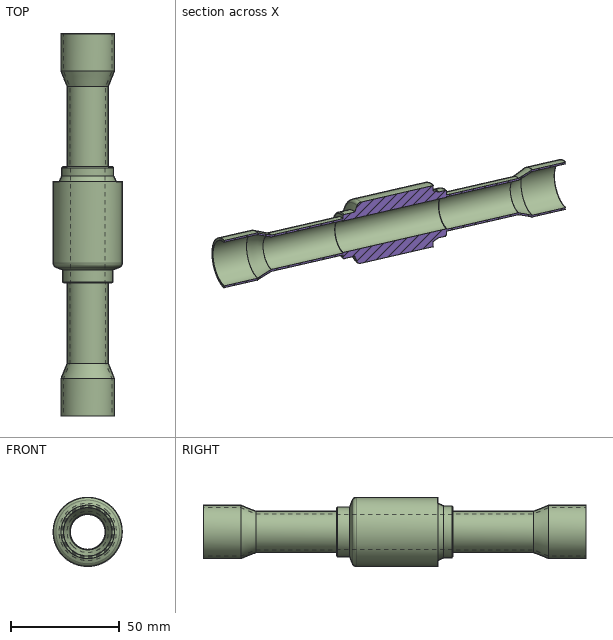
import cadquery as cq
import math

half_length = 88.0
tube_radius = 19.0 / 2
tube_bore_radius = 16.5 / 2
socket_radius = 24.6 / 2
socket_bore_radius = 22.4 / 2
socket_length = 17.2
flare_length = 7.0

body_radius = 31.9 / 2
body_bore_radius = 16.0 / 2
body_back = 19.9
body_front = -17.6
nose_edge_radius = 29.2 / 2
nose_round_length = 2.0
front_collar_radius = 23.0 / 2
collar_end = 26.8
collar_chamfer = 0.5
back_collar_radius = 24.0 / 2
neck_start = 22.5
neck_radius = 26.4 / 2

socket_start = half_length - socket_length
flare_start = socket_start - flare_length
nose_round_end = body_front - nose_round_length

nose_drop = body_radius - nose_edge_radius
nose_radius = (nose_drop**2 + nose_round_length**2) / (2 * nose_drop)
nose_half_angle = math.atan2(nose_drop, nose_round_length)
nose_mid = (
    body_radius - nose_radius * (1 - math.cos(nose_half_angle)),
    body_front - nose_radius * math.sin(nose_half_angle),
)

nose_cone_length = (nose_edge_radius - front_collar_radius) / math.tan(2 * nose_half_angle)
front_collar_start = nose_round_end - nose_cone_length


def make_outside():
    """Revolve the outer outline, given as (radius, Y), about the Y axis."""
    return (
        cq.Workplane("XY")
        .moveTo(0, -half_length)
        .lineTo(socket_radius, -half_length)
        .lineTo(socket_radius, -socket_start)
        .lineTo(tube_radius, -flare_start)
        .lineTo(tube_radius, -collar_end)
        .lineTo(front_collar_radius - collar_chamfer, -collar_end)
        .lineTo(front_collar_radius, -collar_end + collar_chamfer)
        .lineTo(front_collar_radius, front_collar_start)
        .lineTo(nose_edge_radius, nose_round_end)
        .threePointArc(nose_mid, (body_radius, body_front))
        .lineTo(body_radius, body_back)
        .lineTo(neck_radius, body_back)
        .lineTo(back_collar_radius, neck_start)
        .lineTo(back_collar_radius, collar_end - collar_chamfer)
        .lineTo(back_collar_radius - collar_chamfer, collar_end)
        .lineTo(tube_radius, collar_end)
        .lineTo(tube_radius, flare_start)
        .lineTo(socket_radius, socket_start)
        .lineTo(socket_radius, half_length)
        .lineTo(0, half_length)
        .close()
        .revolve(360, (0, 0), (0, 1))
    )


def make_bore():
    """Revolve the stepped and flared passage through the whole part."""
    return (
        cq.Workplane("XY")
        .moveTo(0, -half_length)
        .lineTo(socket_bore_radius, -half_length)
        .lineTo(socket_bore_radius, -socket_start)
        .lineTo(tube_bore_radius, -flare_start)
        .lineTo(tube_bore_radius, -collar_end)
        .lineTo(body_bore_radius, -collar_end)
        .lineTo(body_bore_radius, collar_end)
        .lineTo(tube_bore_radius, collar_end)
        .lineTo(tube_bore_radius, flare_start)
        .lineTo(socket_bore_radius, socket_start)
        .lineTo(socket_bore_radius, half_length)
        .lineTo(0, half_length)
        .close()
        .revolve(360, (0, 0), (0, 1))
    )


result = make_outside().cut(make_bore())